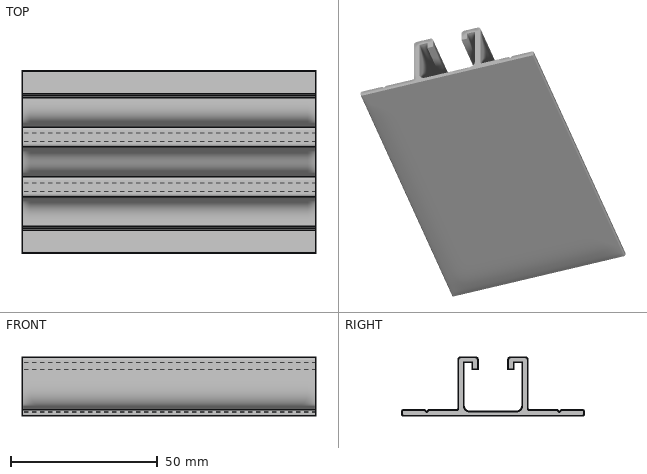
import cadquery as cq

length = 100.0
base_width = 62.0
height = 20.0

flange_thickness = 2.0
floor_thickness = 1.5
base_edge_radius = 0.5

channel_width = 23.8
wall_thickness = 2.0
slot_width = 10.2
roof_thickness = 1.8
lip_thickness = 2.0
lip_depth = 4.2
top_radius = 1.0
floor_radius = 2.0
foot_radius = 0.5

groove_spacing = 45.2
groove_width = 1.4
groove_depth = 0.7

base_half = base_width / 2
outer_wall = channel_width / 2
inner_wall = outer_wall - wall_thickness
slot_half = slot_width / 2
lip_back = slot_half + lip_thickness
roof_underside = height - roof_thickness
lip_bottom = height - lip_depth
groove_center = groove_spacing / 2


def extrude_profile(points):
    """Extrude a closed YZ outline over the full length, centred on X."""
    return cq.Workplane("YZ").polyline(points).close().extrude(length / 2, both=True)


def edges_at(body, places, tolerance=0.01):
    """Select the lengthwise edges at the given (y, z) places."""
    return body.edges("|X").filter(
        lambda edge: any(
            abs(edge.Center().y - y) < tolerance and abs(edge.Center().z - z) < tolerance
            for y, z in places
        )
    )


def mirrored(places):
    """Return the places together with their reflections across the mid-plane."""
    return places + [(-y, z) for y, z in reversed(places)]


def make_rail():
    """Base plate with the open channel standing on it."""
    half_outline = [
        (base_half, 0),
        (base_half, flange_thickness),
        (outer_wall, flange_thickness),
        (outer_wall, height),
        (slot_half, height),
        (slot_half, lip_bottom),
        (lip_back, lip_bottom),
        (lip_back, roof_underside),
        (inner_wall, roof_underside),
        (inner_wall, floor_thickness),
    ]
    return extrude_profile(mirrored(half_outline))


def round_edges(body):
    """Round the channel top, the corners at the wall feet and the flange edges."""
    top_edges = mirrored([(outer_wall, height), (slot_half, height)])
    floor_corners = mirrored([(inner_wall, floor_thickness)])
    flange_edges = mirrored([(base_half, 0), (base_half, flange_thickness)])
    wall_feet = mirrored([(outer_wall, flange_thickness)])
    body = edges_at(body, top_edges).fillet(top_radius)
    body = edges_at(body, floor_corners).fillet(floor_radius)
    body = edges_at(body, wall_feet).fillet(foot_radius)
    return edges_at(body, flange_edges).fillet(base_edge_radius)


def make_groove(center):
    """V-shaped cutter opening at the flange surface."""
    return extrude_profile([
        (center - groove_width / 2, flange_thickness),
        (center, flange_thickness - groove_depth),
        (center + groove_width / 2, flange_thickness),
    ])


result = round_edges(make_rail())
for side in (-1, 1):
    result = result.cut(make_groove(side * groove_center))